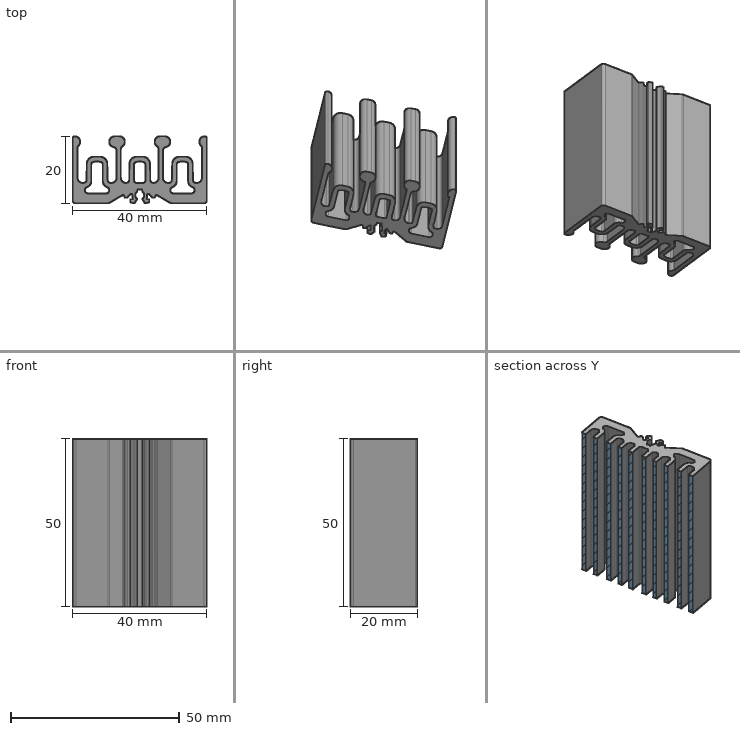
import cadquery as cq
import math


WIDTH = 40.0
DEPTH = 20.0
LENGTH = 50.0
HALF_WIDTH = WIDTH / 2

FLOOR_Y = 6.15
WALL_THICKNESS = 1.55
WALL_INNER_X = HALF_WIDTH - WALL_THICKNESS
POST_X = 6.25
POST_THICKNESS = 1.35
POST_INNER_X = POST_X - POST_THICKNESS / 2
POST_OUTER_X = POST_X + POST_THICKNESS / 2
POST_ROOT_RADIUS = 1.4
ARCH_ROOT_RADIUS = 0.8
BASE_CORNER_RADIUS = 0.9

BEAD_RADIUS = 1.65
BEAD_Y = DEPTH - BEAD_RADIUS
WALL_TIP_RADIUS = 0.65
WALL_BEAD_X = HALF_WIDTH - WALL_TIP_RADIUS
POST_BEAD_INNER_X = 6.05
POST_BEAD_OUTER_X = 7.45
POST_NECK_RADIUS = 1.0
WALL_NECK_RADIUS = 0.4

ARCH_PITCH = 12.7
ARCH_TOP_Y = 13.95
ARCH_TOP_HALF = 3.05
ARCH_ROOT_HALF = 3.2
ARCH_CORNER_RADIUS = 2.25
CAVITY_HALF = 1.65
CAVITY_PEAK_Y = 12.6
CAVITY_CROWN_RADIUS = 4.25
CAVITY_SHOULDER_Y = 12.15
CAVITY_CORNER_RADIUS = 0.6
CAVITY_FLOOR_RADIUS = 0.6

FOOT_Y = 3.0
FOOT_LOBE_RADIUS = 0.95
FOOT_LOBE_X = 2.65
FOOT_FLARE_RADIUS = 2.0

CHANNEL_RADIUS = 1.3
CHANNEL_Y = 2.45
CHANNEL_SLOT_HALF = 0.7
CHANNEL_TOP_Y = 4.15
THROAT_Y = 1.35
MOUTH_HALF = 1.55

FOOT_PAD_X = 9.3
RECESS_Y = 2.45
RIDGE_Y = 1.65
UNDERCUT_Y = 2.8
BARB_X = 2.85
BARB_TOP_Y = 1.3
HOOK_TIP_Y = 0.05
HOOK_TIP_RADIUS = 0.2

UNDERSIDE = [
    (HALF_WIDTH, 0, BASE_CORNER_RADIUS),
    (FOOT_PAD_X, 0, 1.0),
    (5.1, RECESS_Y, 0.2),
    (4.75, RECESS_Y, 0.15),
    (4.4, RIDGE_Y, 0.15),
    (3.75, RIDGE_Y, 0.1),
    (2.75, UNDERCUT_Y, 0.15),
    (2.25, UNDERCUT_Y, 0.2),
    (2.1, BARB_TOP_Y, 0),
    (BARB_X, BARB_TOP_Y, 0),
    (BARB_X, 0.35, 0.35),
    (2.0, HOOK_TIP_Y, HOOK_TIP_RADIUS),
    (MOUTH_HALF, HOOK_TIP_Y, HOOK_TIP_RADIUS),
    (CHANNEL_SLOT_HALF, THROAT_Y, 0),
]


def mirrored(half):
    """Complete a half outline with its mirror image about X = 0."""
    return half + [(-x, y, radius) for x, y, radius in reversed(half)]


def rounded_prism(corners):
    """Extrude a polygon of (x, y, radius) corners with each corner rounded by its radius."""
    stretches = []
    for i, (x, y, radius) in enumerate(corners):
        corner = cq.Vector(x, y)
        if radius == 0:
            stretches.append((corner, None, corner))
            continue
        before = corners[i - 1]
        after = corners[(i + 1) % len(corners)]
        to_before = (cq.Vector(before[0], before[1]) - corner).normalized()
        to_after = (cq.Vector(after[0], after[1]) - corner).normalized()
        half_angle = to_before.getAngle(to_after) / 2
        setback = radius / math.tan(half_angle)
        bisector = (to_before + to_after).normalized()
        middle = corner + bisector * (radius / math.sin(half_angle) - radius)
        stretches.append((corner + to_before * setback, middle, corner + to_after * setback))

    outline = cq.Workplane("XY").moveTo(*stretches[0][2].toTuple()[:2])
    for start, middle, end in stretches[1:] + stretches[:1]:
        outline = outline.lineTo(start.x, start.y)
        if middle is not None:
            outline = outline.threePointArc((middle.x, middle.y), (end.x, end.y))
    return outline.close().extrude(LENGTH)


def cylinder(x, y, radius):
    return cq.Workplane("XY").center(x, y).circle(radius).extrude(LENGTH)


def block(x_min, x_max, y_min, y_max):
    return rounded_prism([(x_min, y_min, 0), (x_max, y_min, 0), (x_max, y_max, 0), (x_min, y_max, 0)])


def neck(face_x, core_x, bead_x, radius):
    """Fill between a fin face and its bead, ending in a concave arc tangent to both."""
    outward = math.copysign(1, face_x - core_x)
    centre_x = face_x + outward * radius
    reach = BEAD_RADIUS + radius
    centre_y = BEAD_Y - math.sqrt(reach**2 - (centre_x - bead_x) ** 2)
    start_angle = math.pi if outward > 0 else 0
    end_angle = math.atan2(BEAD_Y - centre_y, bead_x - centre_x)
    mid_angle = (start_angle + end_angle) / 2

    def on_arc(angle):
        return (centre_x + radius * math.cos(angle), centre_y + radius * math.sin(angle))

    return (
        cq.Workplane("XY")
        .moveTo(core_x, centre_y)
        .lineTo(face_x, centre_y)
        .threePointArc(on_arc(mid_angle), on_arc(end_angle))
        .lineTo(bead_x, BEAD_Y)
        .lineTo(core_x, BEAD_Y)
        .close()
        .extrude(LENGTH)
    )


def section_body():
    """Base, walls, posts and solid arches in one outline."""
    half = [
        (ARCH_TOP_HALF, ARCH_TOP_Y, ARCH_CORNER_RADIUS),
        (ARCH_ROOT_HALF, FLOOR_Y, ARCH_ROOT_RADIUS),
        (POST_INNER_X, FLOOR_Y, POST_ROOT_RADIUS),
        (POST_INNER_X, BEAD_Y, 0),
        (POST_OUTER_X, BEAD_Y, 0),
        (POST_OUTER_X, FLOOR_Y, POST_ROOT_RADIUS),
        (ARCH_PITCH - ARCH_ROOT_HALF, FLOOR_Y, ARCH_ROOT_RADIUS),
        (ARCH_PITCH - ARCH_TOP_HALF, ARCH_TOP_Y, ARCH_CORNER_RADIUS),
        (ARCH_PITCH + ARCH_TOP_HALF, ARCH_TOP_Y, ARCH_CORNER_RADIUS),
        (ARCH_PITCH + ARCH_ROOT_HALF, FLOOR_Y, ARCH_ROOT_RADIUS),
        (WALL_INNER_X, FLOOR_Y, POST_ROOT_RADIUS),
        (WALL_INNER_X, BEAD_Y, 0),
        (HALF_WIDTH, BEAD_Y, 0),
    ]
    return rounded_prism(mirrored(half + UNDERSIDE))


def fin_tips():
    """Beads and necks of one wall and one post, on the +X side."""
    clip = [(0, 0, 0), (HALF_WIDTH, 0, 0), (HALF_WIDTH, DEPTH, WALL_TIP_RADIUS), (0, DEPTH, 0)]
    tips = cylinder(WALL_BEAD_X, BEAD_Y, BEAD_RADIUS)
    tips = tips.intersect(rounded_prism(clip))
    tips = tips.union(neck(WALL_INNER_X, HALF_WIDTH, WALL_BEAD_X, WALL_NECK_RADIUS))
    for bead_x in (POST_BEAD_INNER_X, POST_BEAD_OUTER_X):
        tips = tips.union(cylinder(bead_x, BEAD_Y, BEAD_RADIUS))
    tips = tips.union(block(POST_BEAD_INNER_X, POST_BEAD_OUTER_X, BEAD_Y, DEPTH))
    tips = tips.union(neck(POST_INNER_X, POST_X, POST_BEAD_INNER_X, POST_NECK_RADIUS))
    return tips.union(neck(POST_OUTER_X, POST_X, POST_BEAD_OUTER_X, POST_NECK_RADIUS))


def cavity(floor_y, floor_radius):
    """Upright cavity with a shallow crowned ceiling, centred on X = 0."""
    peak = (0, CAVITY_PEAK_Y, CAVITY_CROWN_RADIUS)
    half = [
        (CAVITY_HALF, CAVITY_SHOULDER_Y, CAVITY_CORNER_RADIUS),
        (CAVITY_HALF, floor_y, floor_radius),
    ]
    return rounded_prism([peak] + mirrored(half))


def flared_cavity():
    """Arch cavity that widens through concave flares into a foot with two round lobes."""
    lobe_y = FOOT_Y + FOOT_LOBE_RADIUS
    flare_x = CAVITY_HALF + FOOT_FLARE_RADIUS
    reach = FOOT_LOBE_RADIUS + FOOT_FLARE_RADIUS
    flare_y = lobe_y + math.sqrt(reach**2 - (flare_x - FOOT_LOBE_X) ** 2)
    share = FOOT_LOBE_RADIUS / reach
    tangent_x = FOOT_LOBE_X + share * (flare_x - FOOT_LOBE_X)
    tangent_y = lobe_y + share * (flare_y - lobe_y)

    half = [(tangent_x, flare_y, 0), (tangent_x, tangent_y, 0), (FOOT_LOBE_X, FOOT_Y, 0)]
    foot = rounded_prism(mirrored(half))
    for side in (-1, 1):
        foot = foot.cut(cylinder(side * flare_x, flare_y, FOOT_FLARE_RADIUS))
        foot = foot.union(cylinder(side * FOOT_LOBE_X, lobe_y, FOOT_LOBE_RADIUS))
    return foot.union(cavity(flare_y, 0))


def screw_channel():
    """Round channel with a narrow slot running from its throat to its top."""
    channel = cylinder(0, CHANNEL_Y, CHANNEL_RADIUS)
    return channel.union(block(-CHANNEL_SLOT_HALF, CHANNEL_SLOT_HALF, THROAT_Y, CHANNEL_TOP_Y))


result = section_body()
tips = fin_tips()
result = result.union(tips).union(tips.mirror("YZ"))

result = result.cut(cavity(FLOOR_Y, CAVITY_FLOOR_RADIUS))
for arch_x in (-ARCH_PITCH, ARCH_PITCH):
    result = result.cut(flared_cavity().translate((arch_x, 0, 0)))

result = result.cut(screw_channel())